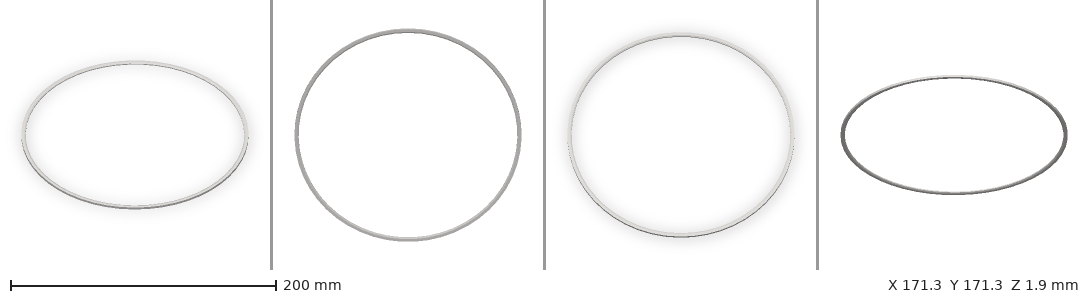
import cadquery as cq

outer_radius = 171.3 / 2
inner_radius = 165.0 / 2
thickness = 1.9

bevel_width = 1.0
bevel_height = 0.5
face_inner_radius = inner_radius + bevel_width

section = [
    (outer_radius, 0),
    (outer_radius, thickness),
    (face_inner_radius, thickness),
    (inner_radius, thickness - bevel_height),
    (inner_radius, bevel_height),
    (face_inner_radius, 0),
]

result = cq.Workplane("XZ").polyline(section).close().revolve(360, (0, 0, 0), (0, 1, 0))